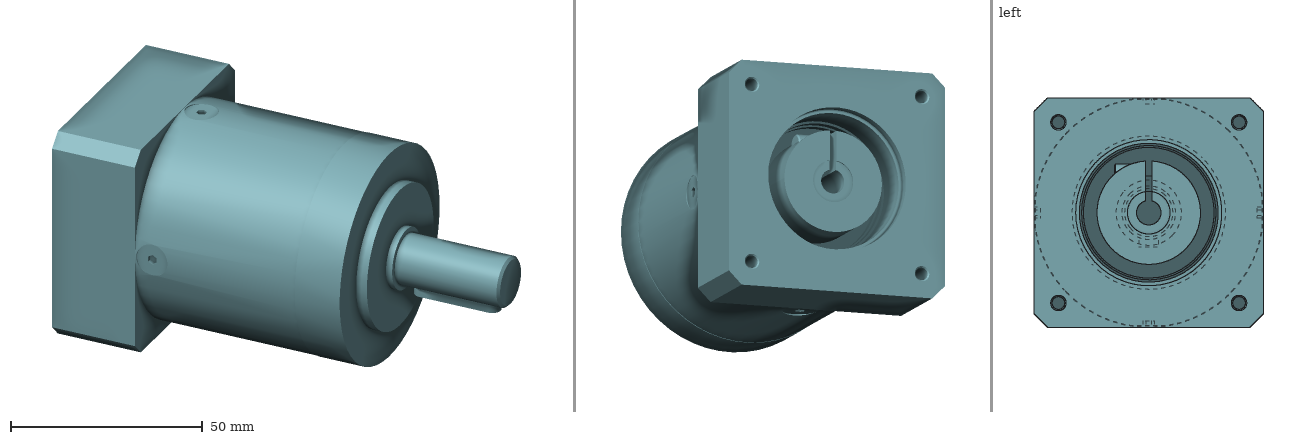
import cadquery as cq

SIDE = 60.0
LENGTH = 118.5
FLANGE_THICKNESS = 24.0
FLANGE_CHAMFER = 3.5

BODY_RADIUS = 29.9
HEAD_START = 70.4
HEAD_END = 83.4
HEAD_RADIUS = SIDE / 2
PILOT_END = 86.5
PILOT_RADIUS = 20.0
COLLAR_END = 88.3
COLLAR_RADIUS = 8.5
SHAFT_RADIUS = 7.0
SHAFT_CHAMFER = 0.7

KEY_START = 90.8
KEY_LENGTH = 24.9
KEY_WIDTH = 5.0
KEY_REACH = 9.0

BOLT_OFFSET = 23.6
BOLT_HOLE_RADIUS = 1.7
BOLT_HOLE_DEPTH = 11.8
BOLT_HOLE_CHAMFER = 0.4

PORT_X = 28.9
PORT_RADIUS = 4.5
PORT_FLOOR = 29.5
PORT_SOCKET_FLATS = 2.5
PORT_SOCKET_DEPTH = 1.2

POCKET_STEPS = [(19.1, 3.0), (18.1, 14.2), (17.5, 16.6), (17.1, 19.0)]
POCKET_FLOOR_RADIUS, POCKET_DEPTH = POCKET_STEPS[-1]

HUB_FACE = 3.0
HUB_RADIUS = 13.5
BUSHING_RADIUS = 5.6
BUSHING_RECESS = 0.4
BORE_RADIUS = 3.2
BORE_DEPTH = 23.7
SLOT_WIDTH = 1.8
SLOT_DEPTH = 11.8
SLOT_STEP_HEIGHT = 9.6

SCREW_RADIUS = 3.4
SCREW_CHAMFER = 0.4
SCREW_TOP = 12.7
SCREW_END = 9.0
SCREW_X = HUB_FACE + 4.4
SCREW_SEAT = 2.4


def cylinder(radius, start, end):
    """Cylinder about the X axis between two X positions."""
    return cq.Workplane("YZ", origin=(start, 0, 0)).circle(radius).extrude(end - start)


def make_housing():
    flange = (
        cq.Workplane("YZ")
        .rect(SIDE, SIDE)
        .extrude(FLANGE_THICKNESS)
        .edges("|X")
        .chamfer(FLANGE_CHAMFER)
    )
    body = cylinder(BODY_RADIUS, FLANGE_THICKNESS, HEAD_START)
    head = cylinder(HEAD_RADIUS, HEAD_START, HEAD_END)
    pilot = cylinder(PILOT_RADIUS, HEAD_END, PILOT_END)
    collar = cylinder(COLLAR_RADIUS, PILOT_END, COLLAR_END)
    return flange.union(body).union(head).union(pilot).union(collar)


def make_output_shaft():
    shaft = cylinder(SHAFT_RADIUS, COLLAR_END, LENGTH).faces(">X").chamfer(SHAFT_CHAMFER)
    key = (
        cq.Workplane("XY", origin=(KEY_START + KEY_LENGTH / 2, 0, -KEY_REACH))
        .slot2D(KEY_LENGTH, KEY_WIDTH)
        .extrude(KEY_REACH)
    )
    return shaft.union(key)


def make_pocket():
    pocket = cylinder(POCKET_FLOOR_RADIUS, 0, POCKET_DEPTH)
    for radius, depth in POCKET_STEPS[:-1]:
        pocket = pocket.union(cylinder(radius, 0, depth))
    return pocket


def make_bolt_holes():
    spots = [(y, z) for y in (-BOLT_OFFSET, BOLT_OFFSET) for z in (-BOLT_OFFSET, BOLT_OFFSET)]
    holes = cq.Workplane("YZ").pushPoints(spots).circle(BOLT_HOLE_RADIUS).extrude(BOLT_HOLE_DEPTH)
    for y, z in spots:
        countersink = cq.Solid.makeCone(
            BOLT_HOLE_RADIUS + BOLT_HOLE_CHAMFER,
            BOLT_HOLE_RADIUS,
            BOLT_HOLE_CHAMFER,
            cq.Vector(0, y, z),
            cq.Vector(1, 0, 0),
        )
        holes = holes.union(cq.Workplane(countersink))
    return holes


def make_ports():
    """Four round seats with a hexagonal socket, spaced evenly around the body."""
    seat = (
        cq.Workplane("XY", origin=(PORT_X, 0, PORT_FLOOR))
        .circle(PORT_RADIUS)
        .extrude(SIDE / 2 - PORT_FLOOR)
    )
    socket = (
        cq.Workplane("XY", origin=(PORT_X, 0, PORT_FLOOR))
        .polygon(6, PORT_SOCKET_FLATS, circumscribed=True)
        .extrude(-PORT_SOCKET_DEPTH)
    )
    port = seat.union(socket)
    ports = port
    for angle in (90, 180, 270):
        ports = ports.union(port.rotate((0, 0, 0), (1, 0, 0), angle))
    return ports


def slot_box(bottom, top, end):
    """Block as wide as the clamp slot, from the hub face to an X position."""
    return (
        cq.Workplane("XY", origin=(HUB_FACE, 0, bottom))
        .box(end - HUB_FACE, SLOT_WIDTH, top - bottom, centered=(False, True, False))
    )


def make_clamp_hub():
    """Slotted motor-shaft clamp standing in the pocket, with its clamp screw."""
    screw = (
        cq.Workplane("XZ", origin=(SCREW_X, SCREW_SEAT, SCREW_TOP - SCREW_RADIUS))
        .circle(SCREW_RADIUS)
        .extrude(SCREW_SEAT - SCREW_END)
        .faces(">Y")
        .chamfer(SCREW_CHAMFER)
    )
    return (
        cylinder(HUB_RADIUS, HUB_FACE, POCKET_DEPTH)
        .union(screw)
        .cut(cylinder(BUSHING_RADIUS, HUB_FACE, HUB_FACE + BUSHING_RECESS))
        .cut(slot_box(0, HUB_RADIUS, HUB_FACE + SLOT_DEPTH))
        .cut(slot_box(SLOT_STEP_HEIGHT, HUB_RADIUS, POCKET_DEPTH))
    )


def make_bushing_bore():
    """Blind motor-shaft bore; the slot splits its bushing over the full bore depth."""
    bore_end = HUB_FACE + BORE_DEPTH
    bushing_slot = slot_box(0, BUSHING_RADIUS, bore_end).intersect(
        cylinder(BUSHING_RADIUS, HUB_FACE, bore_end)
    )
    return cylinder(BORE_RADIUS, HUB_FACE, bore_end).union(bushing_slot)


result = (
    make_housing()
    .cut(make_pocket())
    .cut(make_bolt_holes())
    .cut(make_ports())
    .union(make_output_shaft())
    .union(make_clamp_hub())
    .cut(make_bushing_bore())
)